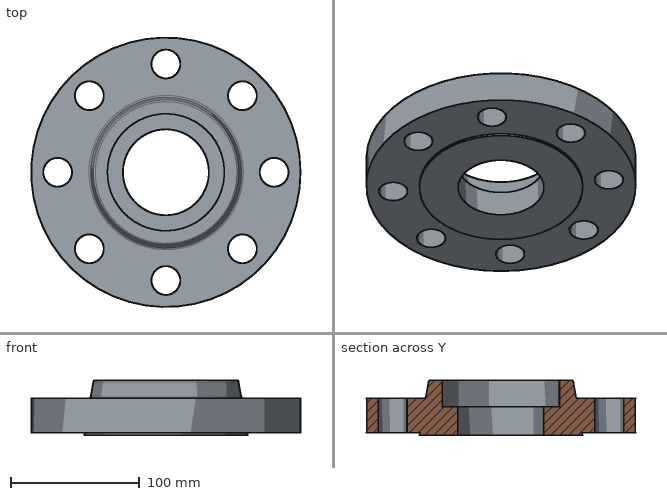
import cadquery as cq
import math

flange_diameter = 209.5
flange_thickness = 27.0
raised_face_diameter = 127.0
raised_face_height = 1.9
total_height = 43.0

hub_base_diameter = 117.5
hub_taper_angle = 10.0
hub_edge_radius = 1.5

bore_diameter = 66.6
socket_diameter = 91.0
socket_depth = 20.5

bolt_count = 8
bolt_circle_diameter = 168.2
bolt_hole_diameter = 22.2

flange_top = raised_face_height + flange_thickness
hub_height = total_height - flange_top
hub_base_radius = hub_base_diameter / 2
hub_top_radius = hub_base_radius - hub_height * math.tan(math.radians(hub_taper_angle))


def flange_body():
    """Raised face, flange disc and tapered hub, revolved about Z as one solid."""
    half_profile = (
        cq.Workplane("XZ")
        .moveTo(0, 0)
        .lineTo(raised_face_diameter / 2, 0)
        .lineTo(raised_face_diameter / 2, raised_face_height)
        .lineTo(flange_diameter / 2, raised_face_height)
        .lineTo(flange_diameter / 2, flange_top)
        .lineTo(hub_base_radius, flange_top)
        .lineTo(hub_top_radius, total_height)
        .lineTo(0, total_height)
        .close()
    )
    return half_profile.revolve(360, (0, 0, 0), (0, 1, 0))


def round_hub_edges(body):
    """Round the hub's top rim and fill the corner where its cone meets the flange."""
    return body.faces("%CONE").edges("%CIRCLE").fillet(hub_edge_radius)


def cut_bore_and_socket(body):
    """Straight through bore, widened from the top into the pipe socket."""
    hub_face = body.faces(">Z").workplane(origin=(0, 0, 0))
    return hub_face.cboreHole(bore_diameter, socket_diameter, socket_depth)


def cut_bolt_holes(body):
    """Plain through holes, equally spaced on the bolt circle."""
    holes = (
        cq.Workplane("XY")
        .polarArray(bolt_circle_diameter / 2, 0, 360, bolt_count)
        .circle(bolt_hole_diameter / 2)
        .extrude(flange_top)
    )
    return body.cut(holes)


body = flange_body()
body = round_hub_edges(body)
body = cut_bore_and_socket(body)
result = cut_bolt_holes(body)